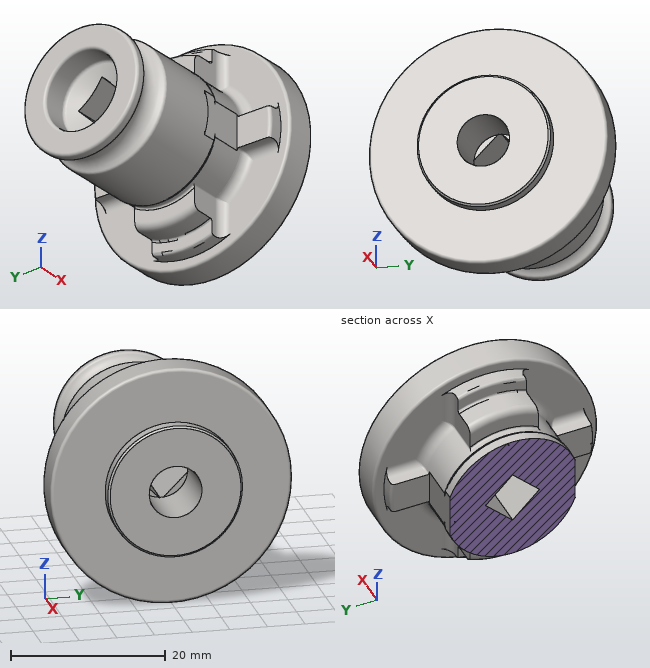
import cadquery as cq
import math


rim_radius = 9.3
rim_round = 0.45
groove_center = 3.55
groove_floor_radius = 7.85
groove_section_radius = 2.27

body_radius = 9.5
body_end = 17.0
body_end_round = 0.3
neck_radius = 9.328
neck_start_round = 0.1

flange_radius = 16.0
flange_start = 23.8
flange_end = 28.48
flange_round = 0.4
rear_groove_radius = 7.1
rear_groove_end = 29.0
rear_disk_radius = 8.945
rear_chamfer = 0.25
total_length = 30.8

lug_radius = 14.45
lug_front = 21.65
lug_edge_round = 0.45
step_radius = 12.35
step_front = 17.95
step_round = 1.02
step_inner_round = 0.32
wide_lug_width = 9.73
narrow_lug_width = 4.6
lug_root_round = 0.3
flange_root_round = 1.3

flat_distance = 8.945
flat_start = 14.75

socket_radius = 5.7
socket_round = 0.45
socket_depth = 3.95
socket_floor_round = 0.48
cone_angle = 144.0
square_width = 5.38
square_end = 22.4
rear_hole_radius = 3.505

margin = 0.03


def cylinder(radius, start, end):
    """Cylinder on the X axis between two x positions."""
    return cq.Workplane("YZ", origin=(start, 0, 0)).circle(radius).extrude(end - start)


def bar(start, end, width_y, width_z):
    """Rectangular bar centred on the X axis between two x positions."""
    return cq.Workplane("YZ", origin=(start, 0, 0)).rect(width_y, width_z).extrude(end - start)


def revolve_about_x(outline):
    """Close an outline of (x, radius) points and turn it about the X axis."""
    return outline.close().revolve(360, (0, 0, 0), (1, 0, 0))


def region(start, end, reach):
    """Selector for edges centred between two x positions, within reach in Y and Z."""
    return cq.selectors.BoxSelector((start, -reach, -reach), (end, reach, reach))


def make_body():
    """Rim, round groove and plain body in one turned piece."""
    section_center_radius = groove_floor_radius + groove_section_radius

    def groove_half_width(radius):
        return math.sqrt(groove_section_radius**2 - (section_center_radius - radius) ** 2)

    groove_start = groove_center - groove_half_width(rim_radius)
    groove_end = groove_center + groove_half_width(body_radius)
    outline = (
        cq.Workplane("XY")
        .lineTo(0, rim_radius)
        .lineTo(groove_start, rim_radius)
        .threePointArc((groove_center, groove_floor_radius), (groove_end, body_radius))
        .lineTo(body_end, body_radius)
        .lineTo(body_end, 0)
    )
    return (
        revolve_about_x(outline)
        .edges(region(-margin, groove_end + margin, margin))
        .fillet(rim_round)
        .edges(region(body_end - margin, body_end + margin, margin))
        .fillet(body_end_round)
    )


def make_flange():
    """Flange with rounded rims, and the grooved, chamfered disk behind it."""
    flange = cylinder(flange_radius, flange_start, flange_end).edges().fillet(flange_round)
    rear_groove = cylinder(rear_groove_radius, flange_end, rear_groove_end)
    rear_disk = cylinder(rear_disk_radius, rear_groove_end, total_length)
    rear_disk = rear_disk.faces(">X").edges().chamfer(rear_chamfer)
    return flange.union(rear_groove).union(rear_disk)


def make_lug_envelope():
    """Turned shape that trims the lugs to a low front step and the full lug radius.

    It ends inside the flange, so the root blends stay whole.
    """
    neck_start = body_end + neck_start_round
    shelf_radius = neck_radius + lug_root_round
    envelope_end = (flange_start + flange_end) / 2
    outline = (
        cq.Workplane("XY")
        .moveTo(body_end, 0)
        .lineTo(body_end, neck_radius - neck_start_round)
        .radiusArc((neck_start, neck_radius), neck_start_round)
        .lineTo(neck_start, shelf_radius)
        .lineTo(step_front, shelf_radius)
        .lineTo(step_front, step_radius - step_round)
        .radiusArc((step_front + step_round, step_radius), step_round)
        .lineTo(lug_front - step_inner_round, step_radius)
        .radiusArc((lug_front, step_radius + step_inner_round), -step_inner_round)
        .lineTo(lug_front, lug_radius - lug_edge_round)
        .radiusArc((lug_front + lug_edge_round, lug_radius), lug_edge_round)
        .lineTo(envelope_end, lug_radius)
        .lineTo(envelope_end, 0)
    )
    return revolve_about_x(outline)


def make_neck_with_lugs():
    """Neck and four lugs, blended into the flange face and trimmed to length."""
    blank_width = 2 * flange_radius
    blank = (
        cylinder(neck_radius, body_end, flange_start)
        .union(bar(step_front, flange_start, wide_lug_width, blank_width))
        .union(bar(body_end, flange_start, blank_width, narrow_lug_width))
        .union(bar(flange_start, flange_end, blank_width, blank_width))
    )
    blank = blank.edges(region(flange_start - margin, flange_start + margin, lug_radius))
    blank = blank.fillet(flange_root_round)
    blend_start = flange_start - flange_root_round
    lug_roots = region(body_end + margin, blend_start - margin, neck_radius)
    blank = blank.edges(lug_roots).fillet(lug_root_round)
    return blank.intersect(make_lug_envelope())


def make_flats():
    """Material to remove beside the body, up to the front of the side lugs."""
    span = 2 * flange_radius
    all_around = bar(flat_start, lug_front, span, span)
    return all_around.cut(bar(flat_start, lug_front, 2 * flat_distance, span))


def make_bore():
    """Round socket with a conical floor, square drive and round rear hole."""
    cone_depth = socket_radius / math.tan(math.radians(cone_angle / 2))
    outline = (
        cq.Workplane("XY")
        .lineTo(0, socket_radius)
        .lineTo(socket_depth, socket_radius)
        .lineTo(socket_depth + cone_depth, 0)
    )
    socket = revolve_about_x(outline)
    socket = socket.edges(region(socket_depth - margin, socket_depth + margin, margin))
    socket = socket.fillet(socket_floor_round)
    square = bar(socket_depth, square_end, square_width, square_width)
    square = square.rotate((0, 0, 0), (1, 0, 0), 45)
    return socket.union(square).union(cylinder(rear_hole_radius, square_end, total_length))


result = make_body().union(make_neck_with_lugs()).union(make_flange())
result = result.cut(make_flats()).cut(make_bore())
socket_mouth = region(-margin, margin, margin)
result = result.edges(socket_mouth).edges(cq.selectors.RadiusNthSelector(0)).fillet(socket_round)